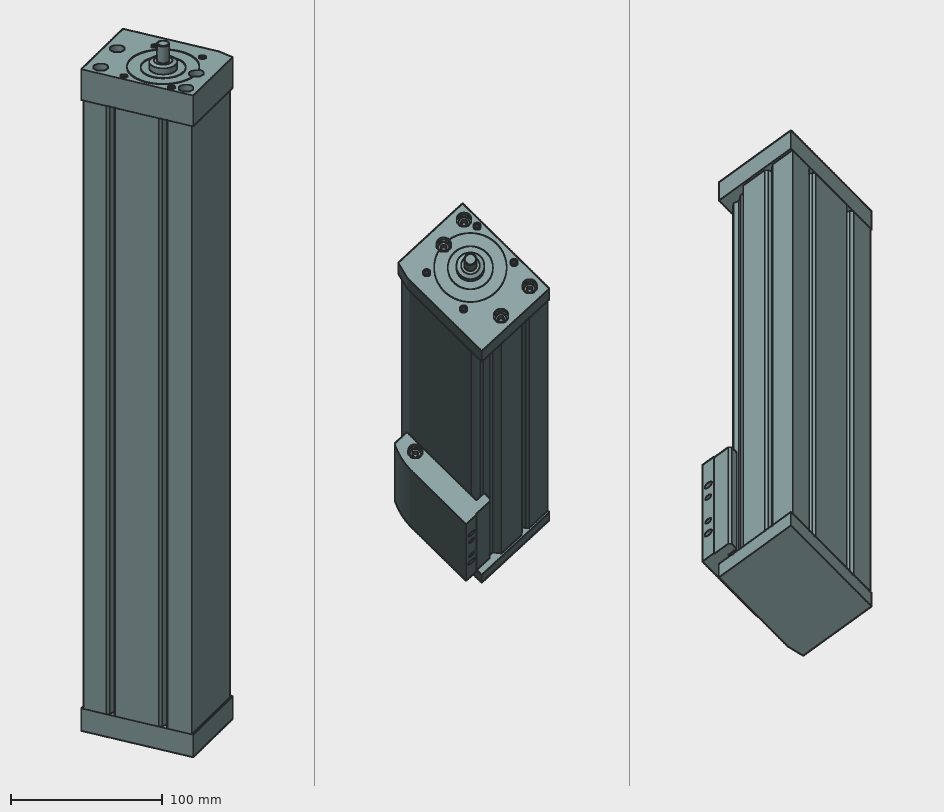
import cadquery as cq


TOTAL_LENGTH = 514.0
BOTTOM_CAP_LENGTH = 17.0
TOP_CAP_LENGTH = 23.0
SHAFT_PROJECTION = 17.5
TOP_CAP_TOP = TOTAL_LENGTH - SHAFT_PROJECTION
TOP_CAP_BOTTOM = TOP_CAP_TOP - TOP_CAP_LENGTH

CAP_WIDTH = 82.0
CAP_DEPTH = 62.0
CAP_BEVEL_WIDTH = 12.0
CAP_BEVEL_DROP = 3.0

PROFILE_DEPTH = 60.0
PROFILE_LEFT = 1.5
PROFILE_RIGHT = 81.0
RAIL_FLANK = [(6.0, 46.5), (6.0, 49.0), (8.5, 52.5), (7.5, 56.0), (10.0, 58.5), (12.0, PROFILE_DEPTH)]
RAIL_FLANK_START = 42.5

SLOT_MOUTH = 6.5
SLOT_NECK = 3.0
SLOT_CHAMFER_DEPTH = 1.5
SLOT_DEPTH = 5.0
FRONT_SLOT_SPACING = 38.5
FRONT_SLOT_CENTRES = [(CAP_WIDTH + side * FRONT_SLOT_SPACING) / 2 for side in (-1, 1)]
SIDE_SLOT_CENTRE = 20.5

CARRIAGE_BOTTOM = 35.0
CARRIAGE_LENGTH = 121.5
CARRIAGE_TOP_Y = 76.5
CARRIAGE_RIGHT = 73.0
CARRIAGE_RIGHT_TOP_Y = 71.5
CROWN_START = 53.5
CROWN_MIDDLE = (67.0, 74.0)
LIP_BOTTOM_Y = 53.0
LIP_CHAMFER = 1.5
LIP_INNER = 7.0
FLANK_STEP = 0.5
FLANK_STEP_Y = 67.0
SIDE_HOLE_Y = 71.5
SIDE_HOLE_DEPTH = 5.0
SIDE_SCREW_DIAMETER = 6.0
SIDE_SCREW_PITCH = 60.0
SIDE_PIN_DIAMETER = 5.0
SIDE_PIN_PITCH = 30.0
END_HOLE_CENTRE = (59.5, 65.5)

BORE_DIAMETER = 10.0
BORE_DEPTH = 5.0
STEP_DIAMETER = 7.0
STEP_DEPTH = 6.5
SCREW_DIAMETER = 4.0
SCREW_DEPTH = 13.0
CAP_SCREW_CENTRES = [(8.5, 36.0), (10.5, 8.0), (70.5, 29.0), (73.5, 7.0)]

SHAFT_X = 47.0
SHAFT_Y = 27.0
PILOT_DIAMETER = 48.0
PILOT_DEPTH = 0.5
SEAT_DIAMETER = 30.0
SEAT_DEPTH = 1.0
MOTOR_HOLE_MOUTH_DIAMETER = 5.0
MOTOR_HOLE_MOUTH_DEPTH = 1.0
MOTOR_HOLE_DIAMETER = 3.25
MOTOR_HOLE_DEPTH = 8.0
MOTOR_HOLE_PITCH_X = 35.0
MOTOR_HOLE_PITCH_Y = 46.5

COLLAR_DIAMETER = 18.5
COLLAR_CONE_DIAMETER = 12.5
COLLAR_EDGE_HEIGHT = 3.5
COLLAR_CONE_HEIGHT = 1.0
SHAFT_DIAMETER = 8.0
SHAFT_CHAMFER = 0.5


def cap_plate(bottom, length):
    """End plate whose outline has a bevelled corner at +X, +Y."""
    return (
        cq.Workplane("XY", origin=(0, 0, bottom))
        .polyline([
            (0, 0),
            (CAP_WIDTH, 0),
            (CAP_WIDTH, CAP_DEPTH - CAP_BEVEL_DROP),
            (CAP_WIDTH - CAP_BEVEL_WIDTH, CAP_DEPTH),
            (0, CAP_DEPTH),
        ])
        .close()
        .extrude(length)
    )


def blind_holes(top, centres, diameter, depth):
    """Cylinders going down from height `top`."""
    return (
        cq.Workplane("XY", origin=(0, 0, top))
        .pushPoints(centres)
        .circle(diameter / 2)
        .extrude(-depth)
    )


def cut_counterbores(body, top, centres):
    """Counterbored and stepped screw holes going down from height `top`."""
    body = body.cut(blind_holes(top, centres, BORE_DIAMETER, BORE_DEPTH))
    body = body.cut(blind_holes(top, centres, STEP_DIAMETER, STEP_DEPTH))
    return body.cut(blind_holes(top, centres, SCREW_DIAMETER, SCREW_DEPTH))


def make_top_cap():
    cap = cap_plate(TOP_CAP_BOTTOM, TOP_CAP_LENGTH)
    cap = cut_counterbores(cap, TOP_CAP_TOP, CAP_SCREW_CENTRES)

    axis = [(SHAFT_X, SHAFT_Y)]
    cap = cap.cut(blind_holes(TOP_CAP_TOP, axis, PILOT_DIAMETER, PILOT_DEPTH))
    cap = cap.cut(blind_holes(TOP_CAP_TOP, axis, SEAT_DIAMETER, SEAT_DEPTH))
    cap = cap.cut(blind_holes(TOP_CAP_TOP, axis, COLLAR_DIAMETER, TOP_CAP_LENGTH))

    motor_holes = [
        (SHAFT_X + side * MOTOR_HOLE_PITCH_X / 2, SHAFT_Y + end * MOTOR_HOLE_PITCH_Y / 2)
        for side in (-1, 1)
        for end in (-1, 1)
    ]
    cap = cap.cut(
        blind_holes(TOP_CAP_TOP, motor_holes, MOTOR_HOLE_MOUTH_DIAMETER, MOTOR_HOLE_MOUTH_DEPTH)
    )
    return cap.cut(blind_holes(TOP_CAP_TOP, motor_holes, MOTOR_HOLE_DIAMETER, MOTOR_HOLE_DEPTH))


def make_slot():
    """Slot cutter that opens at Y = 0 and is centred on X = 0."""
    mouth = SLOT_MOUTH / 2
    neck = SLOT_NECK / 2
    return (
        cq.Workplane("XY", origin=(0, 0, BOTTOM_CAP_LENGTH))
        .polyline([
            (-mouth, 0),
            (-neck, SLOT_CHAMFER_DEPTH),
            (0, SLOT_DEPTH),
            (neck, SLOT_CHAMFER_DEPTH),
            (mouth, 0),
        ])
        .close()
        .extrude(TOP_CAP_BOTTOM - BOTTOM_CAP_LENGTH)
    )


def make_profile():
    """Extrusion with a grooved rail flank along its -X, +Y corner and three slots."""
    profile = (
        cq.Workplane("XY", origin=(0, 0, BOTTOM_CAP_LENGTH))
        .polyline([
            (PROFILE_RIGHT, 0),
            (PROFILE_LEFT, 0),
            (PROFILE_LEFT, RAIL_FLANK_START),
            *RAIL_FLANK,
            (CAP_WIDTH - CAP_BEVEL_WIDTH, PROFILE_DEPTH),
            (PROFILE_RIGHT, PROFILE_DEPTH - CAP_BEVEL_DROP),
        ])
        .close()
        .extrude(TOP_CAP_BOTTOM - BOTTOM_CAP_LENGTH)
    )
    for centre in FRONT_SLOT_CENTRES:
        profile = profile.cut(make_slot().translate((centre, 0, 0)))
    side_slot = make_slot().rotate((0, 0, 0), (0, 0, 1), -90)
    return profile.cut(side_slot.translate((PROFILE_LEFT, SIDE_SLOT_CENTRE, 0)))


def side_holes(pitch, diameter):
    """Two blind holes in the carriage's -X side, either side of its middle."""
    middle = CARRIAGE_BOTTOM + CARRIAGE_LENGTH / 2
    return (
        cq.Workplane("YZ")
        .pushPoints([(SIDE_HOLE_Y, middle + side * pitch / 2) for side in (-1, 1)])
        .circle(diameter / 2)
        .extrude(SIDE_HOLE_DEPTH)
    )


def make_carriage():
    """Crowned plate on top of the profile with a lip that hangs down beside the rail flank."""
    carriage = (
        cq.Workplane("XY", origin=(0, 0, CARRIAGE_BOTTOM))
        .moveTo(0, FLANK_STEP_Y)
        .lineTo(0, CARRIAGE_TOP_Y)
        .lineTo(CROWN_START, CARRIAGE_TOP_Y)
        .threePointArc(CROWN_MIDDLE, (CARRIAGE_RIGHT, CARRIAGE_RIGHT_TOP_Y))
        .lineTo(CARRIAGE_RIGHT, PROFILE_DEPTH)
        .lineTo(LIP_INNER, PROFILE_DEPTH)
        .lineTo(LIP_INNER, LIP_BOTTOM_Y)
        .lineTo(FLANK_STEP + LIP_CHAMFER, LIP_BOTTOM_Y)
        .lineTo(FLANK_STEP, LIP_BOTTOM_Y + LIP_CHAMFER)
        .lineTo(FLANK_STEP, FLANK_STEP_Y)
        .close()
        .extrude(CARRIAGE_LENGTH)
    )
    carriage = carriage.cut(side_holes(SIDE_SCREW_PITCH, SIDE_SCREW_DIAMETER))
    carriage = carriage.cut(side_holes(SIDE_PIN_PITCH, SIDE_PIN_DIAMETER))
    return cut_counterbores(carriage, CARRIAGE_BOTTOM + CARRIAGE_LENGTH, [END_HOLE_CENTRE])


def make_shaft():
    """Stepped drive shaft whose collar fills the bore of the top cap."""
    collar_edge = TOP_CAP_TOP + COLLAR_EDGE_HEIGHT
    cone_top = collar_edge + COLLAR_CONE_HEIGHT
    return (
        cq.Workplane("XZ")
        .polyline([
            (0, TOP_CAP_BOTTOM),
            (COLLAR_DIAMETER / 2, TOP_CAP_BOTTOM),
            (COLLAR_DIAMETER / 2, collar_edge),
            (COLLAR_CONE_DIAMETER / 2, cone_top),
            (SHAFT_DIAMETER / 2, cone_top),
            (SHAFT_DIAMETER / 2, TOTAL_LENGTH - SHAFT_CHAMFER),
            (SHAFT_DIAMETER / 2 - SHAFT_CHAMFER, TOTAL_LENGTH),
            (0, TOTAL_LENGTH),
        ])
        .close()
        .revolve(360, (0, 0, 0), (0, 1, 0))
        .translate((SHAFT_X, SHAFT_Y, 0))
    )


bottom_cap = cap_plate(0, BOTTOM_CAP_LENGTH)
top_cap = make_top_cap()
profile = make_profile()
carriage = make_carriage()
shaft = make_shaft()

result = cq.Compound.makeCompound([
    bottom_cap.val(),
    top_cap.val(),
    profile.val(),
    carriage.val(),
    shaft.val(),
])